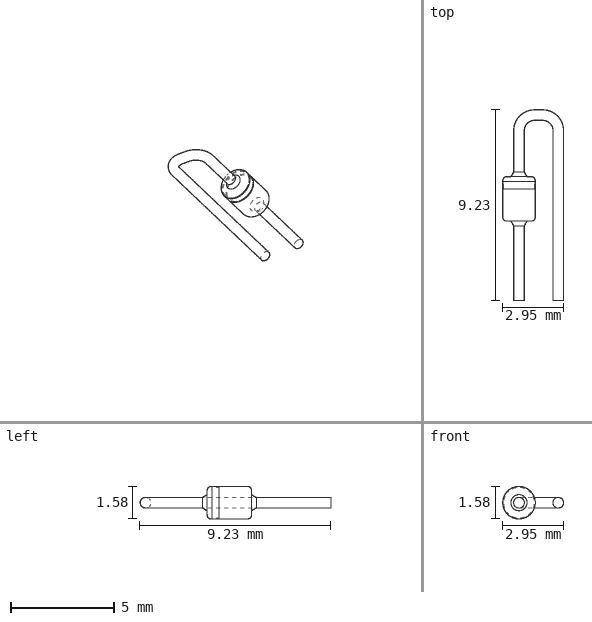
import cadquery as cq

housing_diameter = 1.58
housing_length = 2.16
housing_fillet = 0.2

band_width = 0.34
band_offset = 0.25
band_depth = 0.05

lead_diameter = 0.52
lead_pitch = 1.9
bend_radius = 0.75
straight_before_bend = 2.22
straight_lead_length = 3.84
flare_diameter = 0.78
flare_length = 0.22

housing_radius = housing_diameter / 2
lead_radius = lead_diameter / 2
flare_radius = flare_diameter / 2
band_inner_radius = housing_radius - band_depth

housing_end = housing_length / 2
wire_tip = -housing_end - straight_lead_length
bend_start = housing_end + straight_before_bend
bend_top = bend_start + bend_radius
band_start = housing_end - band_offset - band_width


def cylinder_along_y(radius, start, length):
    """Solid cylinder on the Y axis, growing toward +Y from y = start."""
    return cq.Workplane("XZ", origin=(0, start, 0)).circle(radius).extrude(-length)


def make_band():
    """Thin ring whose outside is flush with the housing."""
    outer = cylinder_along_y(housing_radius, band_start, band_width)
    return outer.cut(cylinder_along_y(band_inner_radius, band_start, band_width))


def make_housing(band):
    """Cylinder with rounded ends and a groove that holds the band."""
    body = cylinder_along_y(housing_radius, -housing_end, housing_length)
    return body.faces("<Y or >Y").edges().fillet(housing_fillet).cut(band)


def make_flare(direction):
    """Cone where a lead meets the housing end on the given side of Y (+1 or -1)."""
    base = direction * housing_end
    tip = base + direction * flare_length
    profile = cq.Workplane("XY").polyline(
        [(0, base), (flare_radius, base), (lead_radius, tip), (0, tip)]
    )
    return profile.close().revolve(360, (0, 0, 0), (0, 1, 0))


def make_straight_lead():
    """Short lead that leaves the housing toward -Y."""
    wire = cylinder_along_y(lead_radius, wire_tip, straight_lead_length)
    return wire.union(make_flare(-1))


def make_bent_lead():
    """Lead that leaves toward +Y, turns back in two bends and ends level with the other tip."""
    path = (
        cq.Workplane("XY")
        .moveTo(0, housing_end)
        .lineTo(0, bend_start)
        .tangentArcPoint((bend_radius, bend_top), relative=False)
        .lineTo(lead_pitch - bend_radius, bend_top)
        .tangentArcPoint((lead_pitch, bend_start), relative=False)
        .lineTo(lead_pitch, wire_tip)
    )
    section = cq.Workplane("XZ", origin=(0, housing_end, 0)).circle(lead_radius)
    return section.sweep(path).union(make_flare(1))


band = make_band()
housing = make_housing(band)
straight_lead = make_straight_lead()
bent_lead = make_bent_lead()

result = cq.Compound.makeCompound(
    [housing.val(), band.val(), straight_lead.val(), bent_lead.val()]
)